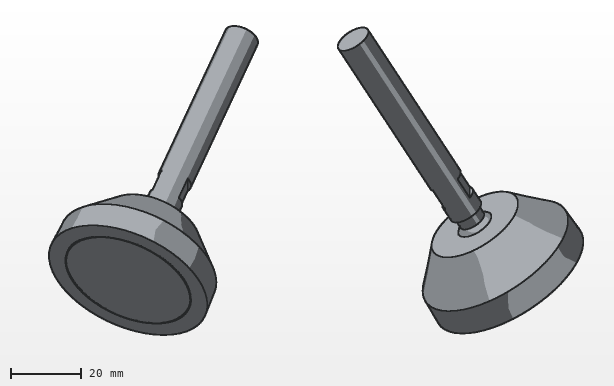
import cadquery as cq
import math

total_length = 90.0

bottom_diameter = 48.0
rim_diameter = 47.25
rim_height = 8.2
top_diameter = 28.1
base_height = 20.0
groove_outer_diameter = 38.0
groove_inner_diameter = 37.5
groove_depth = 0.45

shank_diameter = 10.0
neck_diameter = 7.8
ball_diameter = 13.0
neck_start = 21.5
shoulder_position = 25.1
flat_start = 29.9
flat_end = 36.9
across_flats = 7.9

ball_radius = ball_diameter / 2
neck_radius = neck_diameter / 2
ball_center = neck_start - math.sqrt(ball_radius**2 - neck_radius**2)


def rod(diameter, start, end):
    """Cylinder on the Y axis between two heights above the base's underside."""
    origin = cq.Vector(0, start, 0)
    direction = cq.Vector(0, 1, 0)
    cylinder = cq.Solid.makeCylinder(diameter / 2, end - start, origin, direction)
    return cq.Workplane(obj=cylinder)


def make_ball():
    return cq.Workplane("XY").sphere(ball_radius).translate((0, ball_center, 0))


def make_base():
    """Base with a conical shoulder, a spherical socket and a thin ring groove underneath."""
    body = (
        cq.Workplane("XY")
        .moveTo(0, 0)
        .lineTo(bottom_diameter / 2, 0)
        .lineTo(rim_diameter / 2, rim_height)
        .lineTo(top_diameter / 2, base_height)
        .lineTo(0, base_height)
        .close()
        .revolve(360, (0, 0, 0), (0, 1, 0))
    )
    groove = rod(groove_outer_diameter, 0, groove_depth).cut(rod(groove_inner_diameter, 0, groove_depth))
    return body.cut(groove).cut(make_ball())


def make_spindle():
    """Shank with two wrench flats, a reduced neck and a ball end."""
    shank = rod(shank_diameter, shoulder_position, total_length)
    for side in (-1, 1):
        cutter = cq.Workplane("XY").box(shank_diameter, flat_end - flat_start, shank_diameter)
        offset = side * (across_flats + shank_diameter) / 2
        shank = shank.cut(cutter.translate((offset, (flat_start + flat_end) / 2, 0)))
    neck = rod(neck_diameter, ball_center, shoulder_position)
    return shank.union(neck).union(make_ball())


base = make_base()
spindle = make_spindle()
result = cq.Compound.makeCompound([base.solids().val(), spindle.solids().val()])